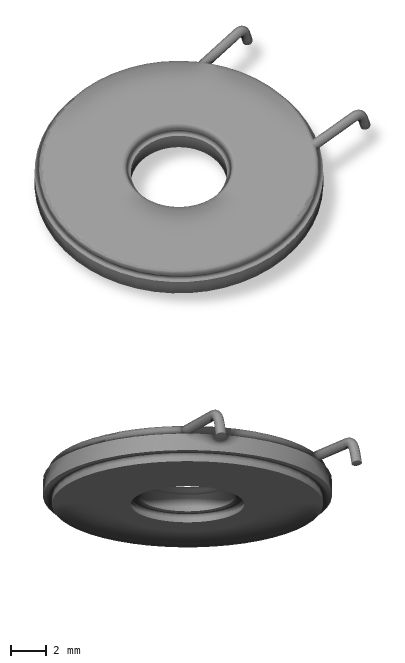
import cadquery as cq
import math

backing_diameter = 15.5
backing_bore = 6.5
backing_height = 0.5

core_diameter = 16.5
core_bore = 5.5
core_height = 1.0

coil_bore = 6.0
coil_height = 0.61
coil_rounding = 0.25
coil_diameter = backing_diameter + 2 * coil_rounding

wire_diameter = 0.6
lead_root_x = 4.37
lead_root_y = 6.32
lead_splay = 3.5
lead_straight = 3.35
bend_reach = 0.82
bend_drop = 0.98
tip_slope = 76.0
tip_length = 0.5

core_bottom = backing_height
coil_bottom = core_bottom + core_height
lead_height = coil_bottom + coil_height / 2


def make_ring(diameter, bore, height, bottom):
    """Flat ring about the Z axis, standing on the given level."""
    ring = cq.Workplane("XY").workplane(offset=bottom)
    return ring.circle(diameter / 2).circle(bore / 2).extrude(height)


def make_lead(side):
    """Bent wire lying in one upright plane; side is -1 for left and +1 for right."""
    splay = math.radians(lead_splay)
    slope = math.radians(tip_slope)
    outward = cq.Vector(side * math.sin(splay), math.cos(splay), 0)
    lead_plane = cq.Plane(
        origin=(side * lead_root_x, lead_root_y, lead_height),
        xDir=outward,
        normal=outward.cross(cq.Vector(0, 0, 1)),
    )
    bend_end = (lead_straight + bend_reach, -bend_drop)
    tip_direction = (math.cos(slope), -math.sin(slope))
    tip_end = (
        bend_end[0] + tip_length * tip_direction[0],
        bend_end[1] + tip_length * tip_direction[1],
    )
    path = (
        cq.Workplane(lead_plane)
        .lineTo(lead_straight, 0)
        .spline([bend_end], tangents=[(1, 0), tip_direction], includeCurrent=True)
        .lineTo(*tip_end)
    )
    section_plane = cq.Plane(origin=lead_plane.origin, xDir=(0, 0, 1), normal=outward)
    return cq.Workplane(section_plane).circle(wire_diameter / 2).sweep(path)


def make_coil():
    """Rounded winding with its two leads, all one piece."""
    coil = make_ring(coil_diameter, coil_bore, coil_height, coil_bottom)
    coil = coil.edges("%CIRCLE").fillet(coil_rounding)
    for side in (-1, 1):
        coil = coil.union(make_lead(side))
    return coil


backing = make_ring(backing_diameter, backing_bore, backing_height, 0)
core = make_ring(core_diameter, core_bore, core_height, core_bottom)
coil = make_coil()

result = cq.Compound.makeCompound([backing.val(), core.val(), coil.solids().val()])